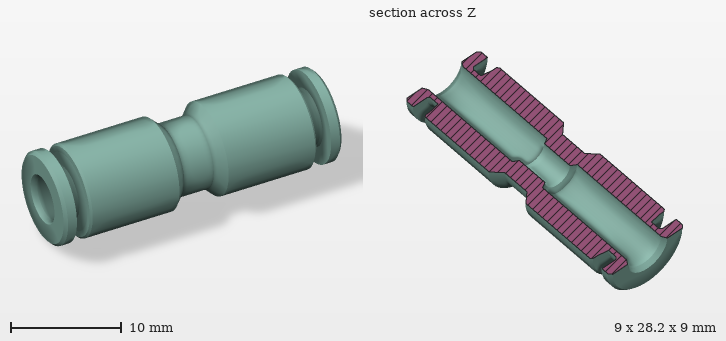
import cadquery as cq
import math

length = 28.2
half_length = length / 2
outer_diameter = 9.0

waist_diameter = 7.0
waist_half_length = 1.5
waist_cone_length = (outer_diameter - waist_diameter) / 2

rim_chamfer = 0.2
rim_to_end = 2.6
ring_inner_diameter = 7.5
body_cone_length = 0.2

flange_thickness = 1.2
flange_chamfer = 0.3
neck_diameter = 5.2
neck_flare = 0.2

socket_diameter = 4.15
socket_mouth_widening = 0.3
socket_mouth_half_angle = 30
socket_mouth_depth = socket_mouth_widening / math.tan(math.radians(socket_mouth_half_angle))
socket_depth = 12.0
socket_taper_half_angle = 60
passage_diameter = 3.0

outer_radius = outer_diameter / 2
waist_radius = waist_diameter / 2
neck_radius = neck_diameter / 2
socket_radius = socket_diameter / 2
passage_radius = passage_diameter / 2
socket_taper_length = (socket_radius - passage_radius) / math.tan(math.radians(socket_taper_half_angle))
rim_end = half_length - rim_to_end
flange_back = half_length - flange_thickness
socket_floor = half_length - socket_depth


def outer_half():
    """Outside of the +Y half from the waist to the end face, as (radius, distance along Y) points."""
    return [
        (waist_radius, waist_half_length),
        (outer_radius, waist_half_length + waist_cone_length),
        (outer_radius, rim_end - rim_chamfer),
        (outer_radius - rim_chamfer, rim_end),
        (ring_inner_diameter / 2, rim_end),
        (neck_radius, rim_end + body_cone_length),
        (neck_radius, flange_back - neck_flare),
        (neck_radius + neck_flare, flange_back),
        (outer_radius, flange_back),
        (outer_radius, half_length - flange_chamfer),
        (outer_radius - flange_chamfer, half_length),
    ]


def bore_half():
    """Bore of the +Y half from the socket mouth inward, as (radius, distance along Y) points."""
    return [
        (socket_radius + socket_mouth_widening, half_length),
        (socket_radius, half_length - socket_mouth_depth),
        (socket_radius, socket_floor),
        (passage_radius, socket_floor - socket_taper_length),
    ]


def make_connector():
    """Section of both halves, revolved about the Y axis."""
    plus_half = outer_half() + bore_half()
    minus_half = [(radius, -y) for radius, y in reversed(plus_half)]
    section = cq.Workplane("XY").polyline(plus_half + minus_half).close()
    return section.revolve(360, (0, 0, 0), (0, 1, 0))


result = make_connector()